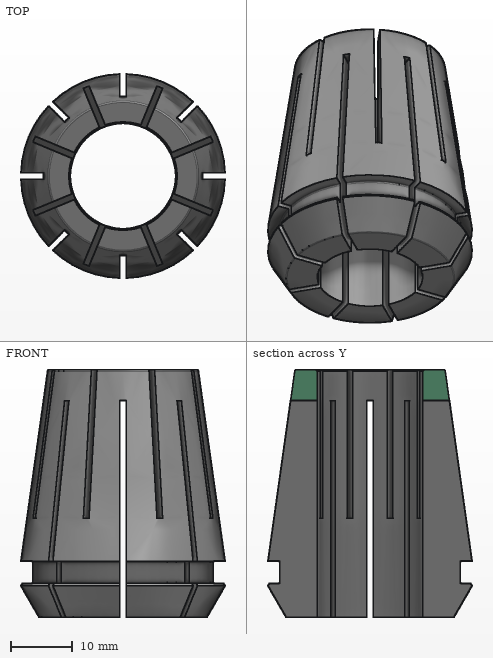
import cadquery as cq
import math

height = 40.0
max_radius = 16.5
bore_radius = 17.0 / 2
body_half_angle = math.radians(8.0)
nose_half_angle = math.radians(30.0)

groove_top = 9.1
groove_bottom = 5.5
groove_radius = 14.6
groove_root_fillet = 0.2
lip_chamfer_height = 0.4
lip_chamfer_angle = math.radians(30.0)
nose_edge_fillet = 0.2

top_outer_fillet = 0.25
top_bore_chamfer = 0.25

slot_width = 1.0
slot_start_radius = bore_radius / 2
slots_per_end = 8
slot_pitch = 360.0 / slots_per_end
lower_slot_top = 35.0
upper_slot_bottom = 16.0

edge_tolerance = 0.01

lip_edge_z = groove_bottom - lip_chamfer_height
lip_top_radius = max_radius - lip_chamfer_height * math.tan(lip_chamfer_angle)
nose_radius = max_radius - lip_edge_z * math.tan(nose_half_angle)
top_radius = max_radius - (height - groove_top) * math.tan(body_half_angle)


def fillet_circle(body, radius, z, fillet):
    """Round the circular edge of the given radius at height z."""
    reach = radius + edge_tolerance
    low = (-reach, -reach, z - edge_tolerance)
    high = (reach, reach, z + edge_tolerance)
    ring = body.edges(cq.selectors.BoxSelector(low, high, boundingbox=True))
    ring = ring.filter(lambda edge: edge.geomType() == "CIRCLE" and abs(edge.radius() - radius) < edge_tolerance)
    return ring.fillet(fillet)


def make_body():
    """Revolve the wall between the bore and the tapered outside."""
    profile = [
        (bore_radius, 0),
        (nose_radius, 0),
        (max_radius, lip_edge_z),
        (lip_top_radius, groove_bottom),
        (groove_radius, groove_bottom),
        (groove_radius, groove_top),
        (max_radius, groove_top),
        (top_radius, height),
        (bore_radius + top_bore_chamfer, height),
        (bore_radius, height - top_bore_chamfer),
    ]
    body = cq.Workplane("XZ").polyline(profile).close().revolve(360, (0, 0, 0), (0, 1, 0))
    body = fillet_circle(body, groove_radius, groove_bottom, groove_root_fillet)
    body = fillet_circle(body, groove_radius, groove_top, groove_root_fillet)
    body = fillet_circle(body, nose_radius, 0, nose_edge_fillet)
    return fillet_circle(body, top_radius, height, top_outer_fillet)


def cut_slots(body, bottom, top, first_angle):
    """Cut evenly spaced radial slots through the wall between two heights."""
    slot = cq.Workplane("XY").box(max_radius, slot_width, top - bottom, centered=(False, True, False))
    slot = slot.translate((slot_start_radius, 0, bottom))
    for index in range(slots_per_end):
        angle = first_angle + index * slot_pitch
        body = body.cut(slot.rotate((0, 0, 0), (0, 0, 1), angle))
    return body


result = make_body()
result = cut_slots(result, 0, lower_slot_top, 0)
result = cut_slots(result, upper_slot_bottom, height, slot_pitch / 2)